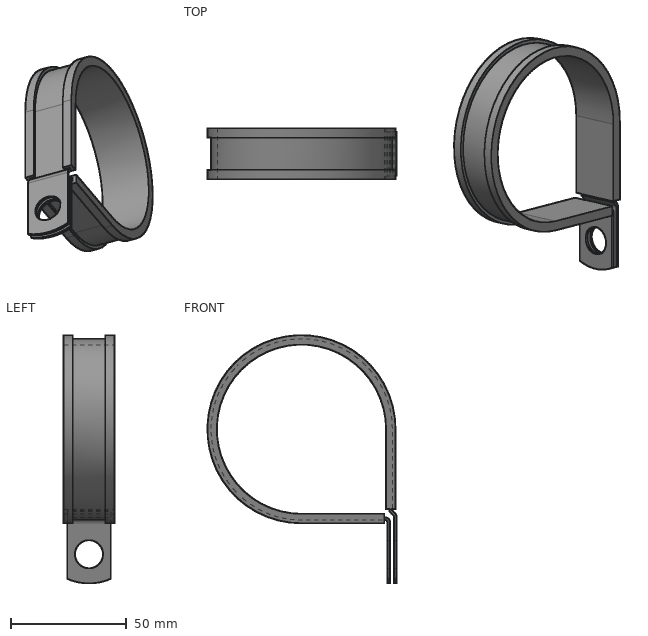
import cadquery as cq
import math

outer_radius = 40.7
cushion_thickness = 4.2
cushion_width = 22.1
upright_arm_end_z = -34.5
level_arm_end_x = 35.9

groove_width = 14.0
groove_depth = 1.5

strap_thickness = 1.2
strap_width = 19.0
tab_bottom_z = outer_radius - 107.5
tab_corner_rise = 2.0
outer_tab_x = 41.2
inner_tab_x = 38.4
jog_start_z = -35.6
bend_radius = 2.4
hole_diameter = 12.0
hole_above_bottom = 12.7
anchor_length = 2.1

strap_outer_radius = outer_radius - groove_depth
strap_inner_radius = strap_outer_radius - strap_thickness


def extrude_centered(outline, width):
    """Extrude an XZ outline symmetrically about the Y = 0 plane."""
    return outline.close().extrude(width / 2, both=True)


def loop_band(outside, inside, width):
    """Three-quarter ring with tangent arms pointing down and to +X."""
    diagonal = math.sqrt(0.5)
    outline = (
        cq.Workplane("XZ")
        .moveTo(outside, upright_arm_end_z)
        .lineTo(outside, 0)
        .threePointArc((-outside * diagonal, outside * diagonal), (0, -outside))
        .lineTo(level_arm_end_x, -outside)
        .lineTo(level_arm_end_x, -inside)
        .lineTo(0, -inside)
        .threePointArc((-inside * diagonal, inside * diagonal), (inside, 0))
        .lineTo(inside, upright_arm_end_z)
    )
    return extrude_centered(outline, width)


def jogged_tab():
    """Tab that leaves the upright arm, slopes outward at 45 degrees and rounds into a straight leg."""
    slope = math.radians(45)
    half_turn_tangent = math.tan(slope / 2)
    inside_radius = bend_radius - strap_thickness
    outer_slope_z = jog_start_z + strap_thickness * half_turn_tangent
    sharp_corner_z = outer_slope_z - (outer_tab_x - strap_outer_radius)
    center_x = outer_tab_x - bend_radius
    center_z = sharp_corner_z - bend_radius * half_turn_tangent

    def knee_start(radius):
        return (center_x + radius * math.cos(slope), center_z + radius * math.sin(slope))

    top_z = upright_arm_end_z + anchor_length
    outline = (
        cq.Workplane("XZ")
        .moveTo(strap_inner_radius, top_z)
        .lineTo(strap_outer_radius, top_z)
        .lineTo(strap_outer_radius, outer_slope_z)
        .lineTo(*knee_start(bend_radius))
        .radiusArc((outer_tab_x, center_z), bend_radius)
        .lineTo(outer_tab_x, tab_bottom_z)
        .lineTo(outer_tab_x - strap_thickness, tab_bottom_z)
        .lineTo(outer_tab_x - strap_thickness, center_z)
        .radiusArc(knee_start(inside_radius), -inside_radius)
        .lineTo(strap_inner_radius, jog_start_z)
    )
    return extrude_centered(outline, strap_width)


def bent_tab():
    """Tab that leaves the level arm and bends straight down."""
    inside_radius = bend_radius - strap_thickness
    bend_x = inner_tab_x - bend_radius
    bend_z = -strap_inner_radius - bend_radius
    start_x = level_arm_end_x - anchor_length
    outline = (
        cq.Workplane("XZ")
        .moveTo(start_x, -strap_inner_radius)
        .lineTo(bend_x, -strap_inner_radius)
        .radiusArc((inner_tab_x, bend_z), bend_radius)
        .lineTo(inner_tab_x, tab_bottom_z)
        .lineTo(inner_tab_x - strap_thickness, tab_bottom_z)
        .lineTo(inner_tab_x - strap_thickness, bend_z)
        .radiusArc((bend_x, -strap_outer_radius), -inside_radius)
        .lineTo(start_x, -strap_outer_radius)
    )
    return extrude_centered(outline, strap_width)


def tab_face_shape():
    """Block along X with the rounded lower end and bolt hole of the tabs."""
    half_width = strap_width / 2
    corner_z = tab_bottom_z + tab_corner_rise
    return (
        cq.Workplane("YZ")
        .moveTo(-half_width, 0)
        .lineTo(-half_width, corner_z)
        .threePointArc((0, tab_bottom_z), (half_width, corner_z))
        .lineTo(half_width, 0)
        .close()
        .moveTo(0, tab_bottom_z + hole_above_bottom)
        .circle(hole_diameter / 2)
        .extrude(2 * outer_tab_x)
    )


cushion = loop_band(outer_radius, outer_radius - cushion_thickness, cushion_width)
groove = loop_band(outer_radius, strap_outer_radius, groove_width)
tabs = jogged_tab().union(bent_tab()).intersect(tab_face_shape())

result = cushion.cut(groove).union(tabs)